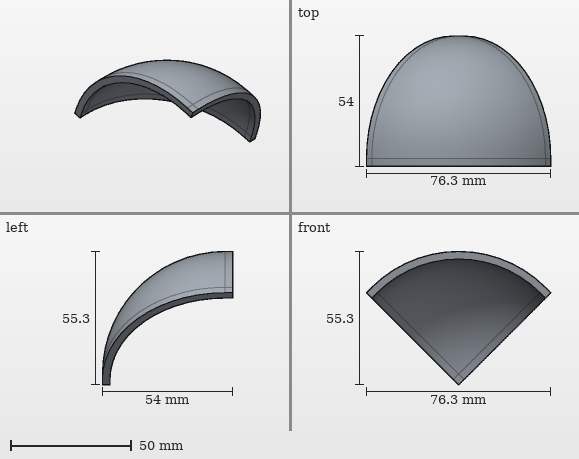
import cadquery as cq
import math

OUTER_RADIUS = 50.8
WALL = 3.175
RIM_WIDTH = 3.175
TILT = 45.0

INNER_RADIUS = OUTER_RADIUS - WALL


def quarter_ring(plane):
    """Sketch the wall section: a quarter ring in the first quadrant of a plane."""
    diagonal = math.sqrt(0.5)
    return (
        cq.Workplane(plane)
        .moveTo(INNER_RADIUS, 0)
        .lineTo(OUTER_RADIUS, 0)
        .threePointArc((OUTER_RADIUS * diagonal, OUTER_RADIUS * diagonal), (0, OUTER_RADIUS))
        .lineTo(0, INNER_RADIUS)
        .threePointArc((INNER_RADIUS * diagonal, INNER_RADIUS * diagonal), (INNER_RADIUS, 0))
        .close()
    )


def octant_shell():
    """One eighth of a spherical shell, in the octant where X, Y and Z are positive."""
    return quarter_ring("XY").revolve(90, (0, 0, 0), (0, -1, 0))


def rim_band(plane):
    """Quarter cylinder that carries the shell straight past one of its flat edges."""
    return quarter_ring(plane).extrude(-RIM_WIDTH)


def corner_block(plane):
    """Square block on the plane's normal axis, filling the gap where two bands meet."""
    return (
        cq.Workplane(plane)
        .workplane(offset=INNER_RADIUS)
        .rect(-RIM_WIDTH, -RIM_WIDTH, centered=False)
        .extrude(WALL)
    )


shell = octant_shell()
for plane in ("XY", "YZ", "ZX"):
    shell = shell.union(rim_band(plane))
    shell = shell.union(corner_block(plane))

result = shell.rotate((0, 0, 0), (0, 1, 0), -TILT)